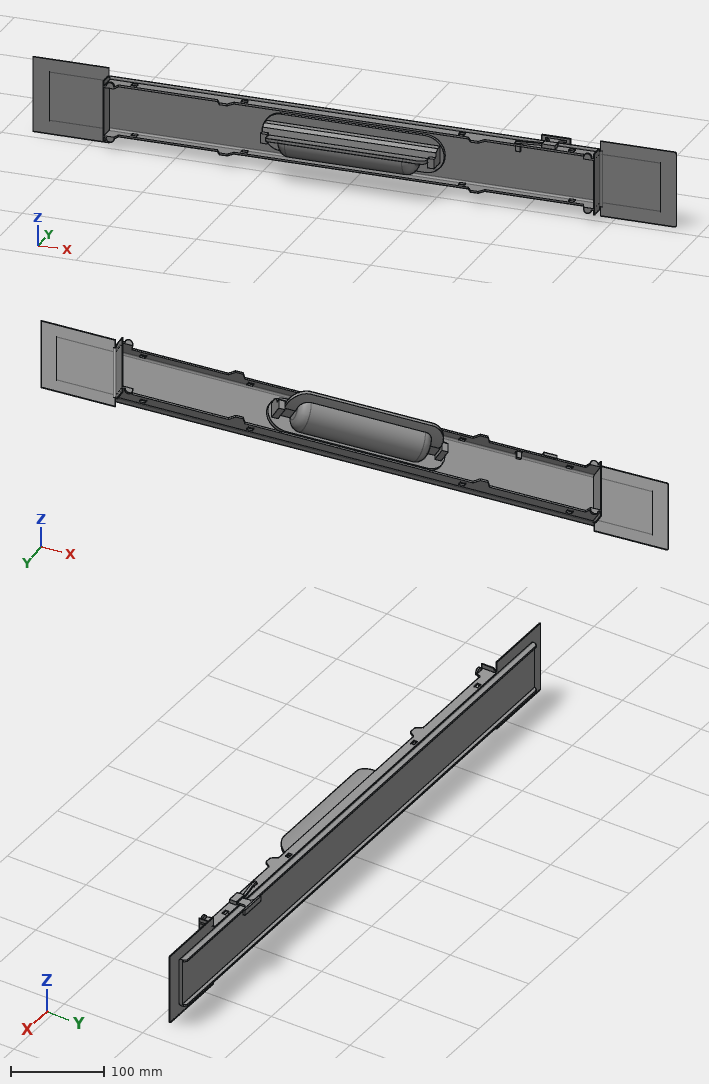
import cadquery as cq
import math


LENGTH = 739.0
PLATE_HEIGHT = 87.0
PLATE_CORNER_RADIUS = 2.0
SHEET = 1.1
SHEET_FRONT = 14.0
SHEET_BACK = SHEET_FRONT + SHEET
FLANGE = 2.0
OPENING_HALF = 282.0
CHANNEL_HALF = 30.0
CHANNEL_INNER = CHANNEL_HALF - FLANGE
BEND_RADIUS = 2.0
FLANGE_FRONT = 4.0
TAB_FRONT = -4.0

END_FLANGE_HALF = 35.5
END_FLANGE_RELIEF = 3.0
END_TAB_WIDTH = 12.5
MID_TAB_X = 144.0
MID_TAB_WIDTH = 9.0
TAB_SLOPE = 5.0
EAR_RADIUS = 4.5
EAR_X = 274.0

WINDOW_X = (-251.0, -125.0, 125.0, 251.0)
WINDOW_WIDTH = 7.0
WINDOW_DEPTH = 4.5
WINDOW_Y = 10.0

PANEL_LENGTH = 702.0
PANEL_BACK = 19.0
LIP_BACK = 24.0
LIP_CHAMFER = 3.0

BASE_LENGTH = 208.5
BASE_HEIGHT = 43.0
BASE_FRONT = 10.0
BAR_LENGTH = 199.5
BAR_TOP = 12.0
BAR_FRONT = -4.0
STEP_FRONT = 3.0
RISER_BACK = -2.0
RISER_TOP = 9.0
CHEEK_WIDTH = 7.5
CHEEK_FRONT = -8.0
CHEEK_TOP = 4.0
CHEEK_BOTTOM = -7.5

LIP_LENGTH = 183.0
LIP_TIP = -29.5
LIP_TIP_TOP = 9.0
LIP_MIDDLE = -17.0
LIP_MIDDLE_TOP = 4.0
LIP_ROOT_TOP = 1.5
LIP_THICKNESS = 4.0
LIP_ROOT_BOTTOM = LIP_ROOT_TOP - LIP_THICKNESS
LIP_CORNER_RADIUS = 20.0
BOWL_LENGTH = 157.0
BOWL_RADIUS = 21.0
BOWL_END_RADIUS = 11.0

LATCH_X = 226.0
LATCH_BACK = 29.5
LATCH_SHEET = 2.0
LATCH_TOP = CHANNEL_HALF + LATCH_SHEET
PULL_WIDTH = 32.5
PULL_TOP = 35.0
PULL_BOTTOM = 28.0
NECK_WIDTH = 11.0
SHOULDER_WIDTH = 24.5
SHOULDER_DEPTH = 4.5
BLOCK_WIDTH = 15.5
BLOCK_FRONT = 4.5
BLOCK_BACK = 13.0
ARM_END_X = 188.0
ARM_WIDTH = 3.0
ARM_ROOT_Y = 15.0
HOOK_WIDTH = 5.0
HOOK_FRONT = 7.0
HOOK_BOTTOM = 21.0
HOOK_SLOT_CLEARANCE = 1.0


def block(x_range, y_range, z_range):
    """Box between the given limits along X, Y and Z."""
    (x0, x1), (y0, y1), (z0, z1) = x_range, y_range, z_range
    return cq.Workplane("XY").box(x1 - x0, y1 - y0, z1 - z0, centered=False).translate((x0, y0, z0))


def plan_outline(points, bottom, top):
    """Plate with an XY outline, between two heights."""
    return cq.Workplane("XY").workplane(offset=bottom).polyline(points).close().extrude(top - bottom)


def side_profile(points, length):
    """Prism with a YZ outline, centred along X."""
    return cq.Workplane("YZ").polyline(points).close().extrude(length / 2, both=True)


def flange_outline():
    """XY outline of a long flange with its end and middle tabs."""
    right = [
        (MID_TAB_X - MID_TAB_WIDTH / 2 - TAB_SLOPE, FLANGE_FRONT),
        (MID_TAB_X - MID_TAB_WIDTH / 2, TAB_FRONT),
        (MID_TAB_X + MID_TAB_WIDTH / 2, TAB_FRONT),
        (MID_TAB_X + MID_TAB_WIDTH / 2 + TAB_SLOPE, FLANGE_FRONT),
        (OPENING_HALF - END_TAB_WIDTH - TAB_SLOPE / 2, FLANGE_FRONT),
        (OPENING_HALF - END_TAB_WIDTH, TAB_FRONT),
        (OPENING_HALF, TAB_FRONT),
        (OPENING_HALF, SHEET_BACK),
    ]
    left = [(-x, y) for x, y in reversed(right)]
    return right + left


def end_plate(side):
    """Square plate beside the channel; only the +X plate has rounded outer corners."""
    x_range = sorted((side * OPENING_HALF, side * LENGTH / 2))
    plate = block(x_range, (SHEET_FRONT, SHEET_BACK), (-PLATE_HEIGHT / 2, PLATE_HEIGHT / 2))
    if side > 0:
        plate = plate.edges("|Y and >X").fillet(PLATE_CORNER_RADIUS)
    return plate


def end_flange(side):
    """Forward flange closing one end of the channel, relieved beside the plate."""
    relief_half = END_FLANGE_HALF - END_FLANGE_RELIEF
    relief_front = SHEET_FRONT - END_FLANGE_RELIEF
    profile = [
        (SHEET_BACK, -relief_half),
        (SHEET_FRONT, -relief_half),
        (relief_front, -END_FLANGE_HALF),
        (TAB_FRONT, -END_FLANGE_HALF),
        (TAB_FRONT, END_FLANGE_HALF),
        (relief_front, END_FLANGE_HALF),
        (SHEET_FRONT, relief_half),
        (SHEET_BACK, relief_half),
    ]
    center = side * (OPENING_HALF - SHEET / 2)
    return side_profile(profile, SHEET).translate((center, 0, 0))


def end_bend(side):
    """Concave rounding between an end plate and its end flange."""
    corner = side * OPENING_HALF
    tangent = corner + side * BEND_RADIUS
    arc_depth = BEND_RADIUS * (1 - math.sqrt(0.5))
    bend = cq.Workplane("XY", origin=(0, 0, END_FLANGE_RELIEF - END_FLANGE_HALF))
    bend = bend.moveTo(corner, SHEET_FRONT).lineTo(tangent, SHEET_FRONT)
    bend = bend.threePointArc(
        (corner + side * arc_depth, SHEET_FRONT - arc_depth),
        (corner, SHEET_FRONT - BEND_RADIUS),
    )
    return bend.close().extrude(2 * (END_FLANGE_HALF - END_FLANGE_RELIEF))


def ear(side, level):
    """Half-round ear turned outward at the front of an end tab."""
    disc = cq.Workplane("XZ", origin=(side * EAR_X, TAB_FRONT, level * CHANNEL_HALF))
    return disc.circle(EAR_RADIUS).extrude(-FLANGE).intersect(
        block(
            (-LENGTH, LENGTH),
            (TAB_FRONT, SHEET_BACK),
            sorted((level * CHANNEL_INNER, level * PLATE_HEIGHT)),
        )
    )


def make_frame():
    web = block((-OPENING_HALF, OPENING_HALF), (SHEET_FRONT, SHEET_BACK), (-CHANNEL_HALF, CHANNEL_HALF))
    upper = plan_outline(flange_outline(), CHANNEL_INNER, CHANNEL_HALF)
    lower = plan_outline(flange_outline(), -CHANNEL_HALF, -CHANNEL_INNER)
    frame = web.union(upper).union(lower)

    bend_probe = cq.selectors.BoxSelector(
        (-LENGTH, SHEET_FRONT - SHEET / 2, -CHANNEL_INNER - SHEET / 2),
        (LENGTH, SHEET_FRONT + SHEET / 2, CHANNEL_INNER + SHEET / 2),
    )
    frame = frame.edges("|X").edges(bend_probe).fillet(BEND_RADIUS)

    for side in (-1, 1):
        frame = frame.union(end_plate(side)).union(end_flange(side)).union(end_bend(side))
        for level in (-1, 1):
            frame = frame.union(ear(side, level))

    for x in WINDOW_X:
        window = cq.Workplane("XY").box(WINDOW_WIDTH, WINDOW_DEPTH, PLATE_HEIGHT)
        frame = frame.cut(window.translate((x, WINDOW_Y, 0)))

    slot = block(
        (ARM_END_X - HOOK_SLOT_CLEARANCE, ARM_END_X + HOOK_WIDTH + HOOK_SLOT_CLEARANCE),
        (HOOK_FRONT - HOOK_SLOT_CLEARANCE, HOOK_FRONT + ARM_WIDTH + HOOK_SLOT_CLEARANCE),
        (HOOK_BOTTOM, PLATE_HEIGHT),
    )
    return frame.cut(slot)


def make_panel():
    half = PANEL_LENGTH / 2
    panel = block((-half, half), (SHEET_BACK, LIP_BACK), (-CHANNEL_HALF, CHANNEL_HALF))
    panel = panel.edges("|Z and >Y").chamfer(LIP_CHAMFER)
    panel = panel.edges("|X and <Y").fillet(BEND_RADIUS)
    hollow = block((-LENGTH, LENGTH), (PANEL_BACK, LIP_BACK), (-CHANNEL_INNER, CHANNEL_INNER))
    return panel.cut(hollow)


def start_at_lip_curve(drop):
    """Start a YZ outline with the lip's upward curve, root to tip, lowered by the drop."""
    root = cq.Workplane("YZ").moveTo(BAR_FRONT, LIP_ROOT_TOP - drop)
    return root.threePointArc((LIP_MIDDLE, LIP_MIDDLE_TOP - drop), (LIP_TIP, LIP_TIP_TOP - drop))


def make_grip():
    lip = (
        start_at_lip_curve(0)
        .lineTo(LIP_TIP, LIP_TIP_TOP - LIP_THICKNESS)
        .threePointArc(
            (LIP_MIDDLE, LIP_MIDDLE_TOP - LIP_THICKNESS),
            (BAR_FRONT, LIP_ROOT_BOTTOM),
        )
        .close()
        .extrude(LIP_LENGTH / 2, both=True)
    )
    plan = block((-LIP_LENGTH / 2, LIP_LENGTH / 2), (LIP_TIP, BAR_FRONT), (-PLATE_HEIGHT, PLATE_HEIGHT))
    lip = lip.intersect(plan.edges("|Z and <Y").fillet(LIP_CORNER_RADIUS))

    bowl = cq.Workplane("YZ").circle(BOWL_RADIUS).extrude(BOWL_LENGTH / 2, both=True)
    bowl = bowl.edges().fillet(BOWL_END_RADIUS)
    below_lip = (
        start_at_lip_curve(LIP_THICKNESS)
        .lineTo(LIP_TIP, -BOWL_RADIUS)
        .lineTo(BASE_FRONT, -BOWL_RADIUS)
        .lineTo(BASE_FRONT, LIP_ROOT_BOTTOM)
        .close()
        .extrude(BOWL_LENGTH / 2, both=True)
    )
    return lip.union(bowl.intersect(below_lip))


def make_mount():
    base = cq.Workplane("XZ", origin=(0, SHEET_FRONT, 0)).slot2D(BASE_LENGTH, BASE_HEIGHT)
    base = base.extrude(SHEET_FRONT - BASE_FRONT)
    bar = side_profile(
        [
            (BASE_FRONT, BAR_TOP),
            (STEP_FRONT, BAR_TOP),
            (RISER_BACK, RISER_TOP),
            (BAR_FRONT, LIP_ROOT_TOP),
            (BAR_FRONT, LIP_ROOT_BOTTOM),
            (BASE_FRONT, LIP_ROOT_BOTTOM),
        ],
        BAR_LENGTH,
    )
    mount = base.union(bar)
    for side in (-1, 1):
        x_range = sorted((side * BAR_LENGTH / 2, side * (BAR_LENGTH / 2 - CHEEK_WIDTH)))
        mount = mount.union(block(x_range, (CHEEK_FRONT, BASE_FRONT), (CHEEK_BOTTOM, CHEEK_TOP)))
    return mount


def make_latch():
    def centred(width):
        return (LATCH_X - width / 2, LATCH_X + width / 2)

    pull_front = LATCH_BACK - LATCH_SHEET
    pull = block(centred(PULL_WIDTH), (pull_front, LATCH_BACK), (PULL_BOTTOM, PULL_TOP))
    neck = block(centred(NECK_WIDTH), (BLOCK_FRONT, pull_front), (CHANNEL_HALF, LATCH_TOP))
    neck_left, neck_right = centred(NECK_WIDTH)
    shoulder_left, shoulder_right = centred(SHOULDER_WIDTH)
    shoulder = plan_outline(
        [
            (shoulder_left, pull_front),
            (neck_left, pull_front - SHOULDER_DEPTH),
            (neck_right, pull_front - SHOULDER_DEPTH),
            (shoulder_right, pull_front),
        ],
        CHANNEL_HALF,
        LATCH_TOP,
    )
    raised = block(centred(BLOCK_WIDTH), (BLOCK_FRONT, BLOCK_BACK), (CHANNEL_HALF, PULL_TOP))
    arm = plan_outline(
        [
            (ARM_END_X, HOOK_FRONT),
            (ARM_END_X + HOOK_WIDTH, HOOK_FRONT),
            (LATCH_X, ARM_ROOT_Y - ARM_WIDTH),
            (LATCH_X, ARM_ROOT_Y),
            (ARM_END_X + HOOK_WIDTH, HOOK_FRONT + ARM_WIDTH),
            (ARM_END_X, HOOK_FRONT + ARM_WIDTH),
        ],
        CHANNEL_HALF,
        LATCH_TOP,
    )
    hook = block(
        (ARM_END_X, ARM_END_X + HOOK_WIDTH),
        (HOOK_FRONT, HOOK_FRONT + ARM_WIDTH),
        (HOOK_BOTTOM, LATCH_TOP),
    )
    return pull.union(neck).union(shoulder).union(raised).union(arm).union(hook)


frame = make_frame()
panel = make_panel()
mount = make_mount()
grip = make_grip()
latch = make_latch()

result = cq.Compound.makeCompound([body.solids().val() for body in (frame, panel, mount, grip, latch)])